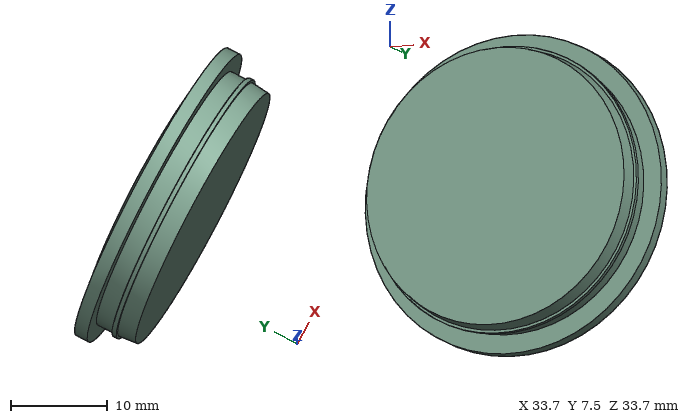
import cadquery as cq
import math

flange_diameter = 33.7
flange_thickness = 1.5
dome_height = 1.5

plug_diameter = 29.7
plug_straight_length = 2.0
rib_diameter = 30.3
rib_width = 0.5
taper_length = 2.0
taper_end_diameter = 29.3

flange_underside = 0.0
flange_top = flange_underside + flange_thickness
dome_apex = flange_top + dome_height
rib_top = flange_underside - plug_straight_length
rib_bottom = rib_top - rib_width
plug_end = rib_bottom - taper_length

flange_radius = flange_diameter / 2
plug_radius = plug_diameter / 2
rib_radius = rib_diameter / 2
taper_end_radius = taper_end_diameter / 2


def dome_arc_midpoint():
    """Point halfway along the dome's circular arc from rim to apex."""
    sphere_radius = (flange_radius**2 + dome_height**2) / (2 * dome_height)
    half_angle = math.asin(flange_radius / sphere_radius) / 2
    radial = sphere_radius * math.sin(half_angle)
    axial = dome_apex - sphere_radius * (1 - math.cos(half_angle))
    return (radial, axial)


def make_cap():
    """Revolve the half section: plug, snap rib, flange and dome."""
    half_section = (
        cq.Workplane("ZY")
        .moveTo(0, plug_end)
        .lineTo(taper_end_radius, plug_end)
        .lineTo(plug_radius, rib_bottom)
        .lineTo(rib_radius, rib_bottom)
        .lineTo(rib_radius, rib_top)
        .lineTo(plug_radius, rib_top)
        .lineTo(plug_radius, flange_underside)
        .lineTo(flange_radius, flange_underside)
        .lineTo(flange_radius, flange_top)
        .threePointArc(dome_arc_midpoint(), (0, dome_apex))
        .close()
    )
    return half_section.revolve(360, (0, 0, 0), (0, 1, 0))


result = make_cap()